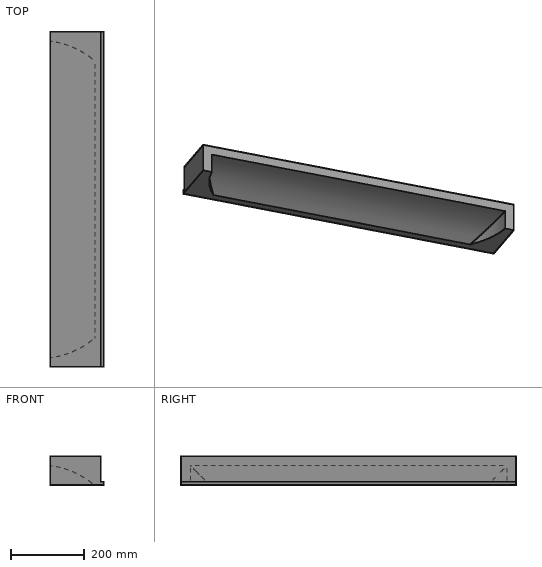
import cadquery as cq

depth = 146.05
length = 914.4
height = 79.375

lip_depth = 7.9375
lip_height = 9.525
body_depth = depth - lip_depth

border = 25.4
cove_drop = height - border
cove_reach = 121.3
cove_radius = 227.0


def make_body():
    """Block with a low lip along the back edge, as one extruded outline."""
    outline = [
        (0, 0),
        (depth, 0),
        (depth, lip_height),
        (body_depth, lip_height),
        (body_depth, height),
        (0, height),
    ]
    return cq.Workplane("XZ").polyline(outline).close().extrude(-length)


def cove_section(plane, edge, inward):
    """Section of the hollow on one side, bounded by an arc that steepens with depth.

    The arc runs from the front at `edge` to the cove reach, moving by the cove drop
    in the `inward` direction (1 or -1). It is hollowed into the solid.
    """
    end = edge + inward * cove_drop
    chord = (cove_reach**2 + cove_drop**2) ** 0.5
    sagitta = cove_radius - (cove_radius**2 - (chord / 2) ** 2) ** 0.5
    arc_middle = (
        cove_reach / 2 + sagitta * cove_drop / chord,
        (edge + end) / 2 - inward * sagitta * cove_reach / chord,
    )
    return (
        cq.Workplane(plane)
        .moveTo(0, edge)
        .threePointArc(arc_middle, (cove_reach, end))
        .lineTo(0, end)
        .close()
    )


def make_hollow():
    """Hollow under the top and between the ends; its coves meet in mitred corners."""
    under_top = cove_section("XZ", cove_drop, -1).extrude(-length)
    near_end = cove_section("XY", border, 1).extrude(height)
    far_end = cove_section("XY", length - border, -1).extrude(height)
    middle_start = border + cove_drop
    middle = (
        cq.Workplane("XY")
        .box(cove_reach, length - 2 * middle_start, height, centered=False)
        .translate((0, middle_start, 0))
    )
    between_ends = near_end.union(middle).union(far_end)
    return under_top.intersect(between_ends)


result = make_body().cut(make_hollow())